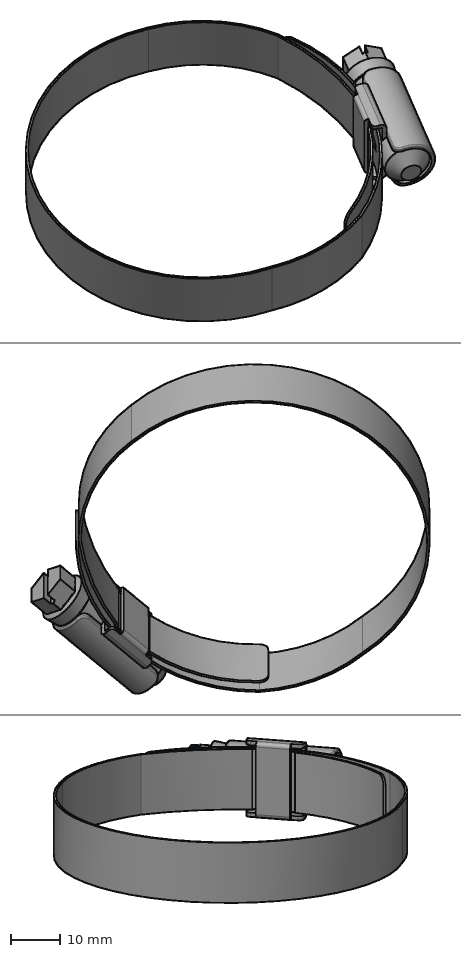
import cadquery as cq
import math


BAND_WIDTH = 12.7
BAND_THICK = 0.5
RING_OUTER_DIAMETER = 71.0
RING_R = (RING_OUTER_DIAMETER - BAND_THICK) / 2
INNER_END_R = 34.6
INNER_END_ANGLE = 39.8
TAIL_R = 35.9
TAIL_END_ANGLE = 134.6
CROWN_R = 36.05
BAND_CORNER_R = 2.0
SEAT_LENGTH = 9.8
CURVE_END_X = 4.5

SCREW_Y = 40.4
HEX_FLATS = 8.2
HEX_START_X = -19.1
SLOT_WIDTH = 1.15
SLOT_DEPTH = 2.05
COLLAR_START_X = -14.8
COLLAR_RIM_X = -14.4
COLLAR_RIM_R = 5.5
COLLAR_BACK_R = 5.1
WORM_R = 4.7
WORM_END_X = 13.4
TIP_R = 2.1

SHELL_LENGTH = 22.9
SHELL_DIAMETER = 11.7
SHELL_R = SHELL_DIAMETER / 2
SHEET_THICK = 0.9
SHELL_EDGE_R = 0.4
SHELL_CORNER_R = 2.0
EAR_LENGTH = 12.0
EAR_TOP_Y = 37.5
EAR_BOTTOM_Y = 34.4
EAR_BEND_R = 1.3
EAR_CORNER_R = 1.0
HOUSING_WIDTH = 16.0
BRIDGE_LENGTH = 7.2
BRIDGE_BOTTOM_Y = 33.5
BRIDGE_BEND_R = 0.9

SHELL_BORE_R = SHELL_R - SHEET_THICK
COLLAR_BACK_X = -SHELL_LENGTH / 2
BRIDGE_TOP_Y = BRIDGE_BOTTOM_Y + SHEET_THICK
SEAT_ANGLE = math.degrees(math.acos(CURVE_END_X / INNER_END_R))

SPIRAL_STATIONS = [
    (INNER_END_R, 180 - SEAT_ANGLE),
    (34.25, 114),
    (35.3, 136),
    (35.5, 155),
    (RING_R, 180),
    (RING_R, 273),
    (RING_R, 360 + 6),
    (36.2, 360 + 24),
    (36.95, 360 + 43),
    (36.6, 360 + 61),
    (CROWN_R, 360 + 90),
    (TAIL_R, 360 + 112),
    (TAIL_R, 360 + TAIL_END_ANGLE),
]


def polar(radius, angle):
    """Point at a radius and an angle in degrees from +X."""
    a = math.radians(angle)
    return (radius * math.cos(a), radius * math.sin(a))


def curved_strip(stations):
    """Strip of band through (radius, angle) stations; every second station is the middle of an arc."""
    outer = [polar(r + BAND_THICK / 2, a) for r, a in stations]
    inner = [polar(r - BAND_THICK / 2, a) for r, a in reversed(stations)]
    outline = cq.Workplane("XY").workplane(offset=-BAND_WIDTH / 2).moveTo(*outer[0])
    for middle, end in zip(outer[1::2], outer[2::2]):
        outline = outline.threePointArc(middle, end)
    outline = outline.lineTo(*inner[0])
    for middle, end in zip(inner[1::2], inner[2::2]):
        outline = outline.threePointArc(middle, end)
    return outline.close().extrude(BAND_WIDTH)


def round_strip_end(strip, radius, angle):
    """Round the two corners at the free end of a strip."""
    x, y = polar(radius, angle)
    reach = BAND_THICK
    near_end = cq.selectors.BoxSelector(
        (x - reach, y - reach, -BAND_WIDTH), (x + reach, y + reach, BAND_WIDTH)
    )
    end_face = strip.faces(near_end)
    return end_face.edges("#Z").edges(cq.selectors.LengthNthSelector(0)).fillet(BAND_CORNER_R)


def make_band(screw):
    inner_end = curved_strip([
        (INNER_END_R, INNER_END_ANGLE),
        (INNER_END_R, (INNER_END_ANGLE + SEAT_ANGLE) / 2),
        (INNER_END_R, SEAT_ANGLE),
    ])
    inner_end = round_strip_end(inner_end, INNER_END_R, INNER_END_ANGLE)

    spiral = curved_strip(SPIRAL_STATIONS)
    spiral = round_strip_end(spiral, TAIL_R, TAIL_END_ANGLE)

    seat = (
        cq.Workplane("XY")
        .box(SEAT_LENGTH, BAND_THICK, BAND_WIDTH)
        .translate((0, BRIDGE_TOP_Y + BAND_THICK / 2, 0))
    )
    return inner_end.union(seat).union(spiral).cut(screw)


def make_screw():
    turned_body = (
        cq.Workplane("XY")
        .polyline([
            (COLLAR_START_X, 0),
            (COLLAR_START_X, HEX_FLATS / 2),
            (COLLAR_RIM_X, COLLAR_RIM_R),
            (COLLAR_BACK_X, COLLAR_BACK_R),
            (COLLAR_BACK_X, WORM_R),
            (WORM_END_X - (WORM_R - TIP_R), WORM_R),
            (WORM_END_X, TIP_R),
            (WORM_END_X, 0),
        ])
        .close()
        .revolve(360, (0, 0, 0), (1, 0, 0))
    )
    hex_corners = HEX_FLATS / math.cos(math.radians(30))
    head = (
        cq.Workplane("YZ")
        .workplane(offset=HEX_START_X)
        .transformed(rotate=(0, 0, 90))
        .polygon(6, hex_corners)
        .extrude(COLLAR_START_X - HEX_START_X)
    )
    slot = (
        cq.Workplane("XY")
        .box(2 * SLOT_DEPTH, SLOT_WIDTH, 2 * hex_corners)
        .translate((HEX_START_X, 0, 0))
    )
    return turned_body.union(head).cut(slot).translate((0, SCREW_Y, 0))


def make_shell():
    """Arched cover over the worm, open toward the band."""
    half = SHELL_LENGTH / 2
    drop = SCREW_Y - EAR_TOP_Y
    arch = (
        cq.Workplane("YZ")
        .workplane(offset=-half)
        .center(SCREW_Y, 0)
        .circle(SHELL_R)
        .extrude(SHELL_LENGTH)
    )
    side = (
        cq.Workplane("XY")
        .workplane(offset=-SHELL_R)
        .center(0, SCREW_Y + (SHELL_R - drop) / 2)
        .rect(SHELL_LENGTH, SHELL_R + drop)
        .extrude(2 * SHELL_R)
        .edges("|Z and <Y")
        .fillet(SHELL_CORNER_R)
    )
    return arch.intersect(side).edges("<X or >X").fillet(SHELL_EDGE_R)


def make_ears():
    """Bent sheet loop: two ears beside the band, and the bridge that passes under it."""
    outer_height = EAR_TOP_Y - BRIDGE_BOTTOM_Y
    loop = (
        cq.Workplane("YZ")
        .workplane(offset=-EAR_LENGTH / 2)
        .center((EAR_TOP_Y + BRIDGE_BOTTOM_Y) / 2, 0)
        .rect(outer_height, HOUSING_WIDTH)
        .extrude(EAR_LENGTH)
        .edges("|X and >Y")
        .fillet(EAR_BEND_R)
        .edges("|X and <Y")
        .fillet(BRIDGE_BEND_R)
    )
    opening = (
        cq.Workplane("YZ")
        .workplane(offset=-EAR_LENGTH / 2)
        .center((EAR_TOP_Y + BRIDGE_BOTTOM_Y) / 2, 0)
        .rect(outer_height - 2 * SHEET_THICK, HOUSING_WIDTH - 2 * SHEET_THICK)
        .extrude(EAR_LENGTH)
        .edges("|X and >Y")
        .fillet(EAR_BEND_R - SHEET_THICK)
    )
    ear_outline = (
        cq.Workplane("XY")
        .workplane(offset=-HOUSING_WIDTH / 2)
        .center(0, (EAR_TOP_Y + EAR_BOTTOM_Y) / 2)
        .rect(EAR_LENGTH, EAR_TOP_Y - EAR_BOTTOM_Y)
        .extrude(HOUSING_WIDTH)
        .edges("|Z and <Y")
        .fillet(EAR_CORNER_R)
    )
    bridge_outline = (
        cq.Workplane("XY")
        .box(BRIDGE_LENGTH, outer_height, HOUSING_WIDTH)
        .translate((0, (EAR_TOP_Y + BRIDGE_BOTTOM_Y) / 2, 0))
    )
    return loop.cut(opening).intersect(ear_outline.union(bridge_outline))


def make_housing():
    bore = (
        cq.Workplane("YZ")
        .workplane(offset=-SHELL_LENGTH / 2)
        .center(SCREW_Y, 0)
        .circle(SHELL_BORE_R)
        .extrude(SHELL_LENGTH)
    )
    return make_shell().union(make_ears()).cut(bore)


screw = make_screw()
housing = make_housing()
band = make_band(screw)

result = cq.Compound.makeCompound([
    band.solids().val(),
    housing.solids().val(),
    screw.solids().val(),
])